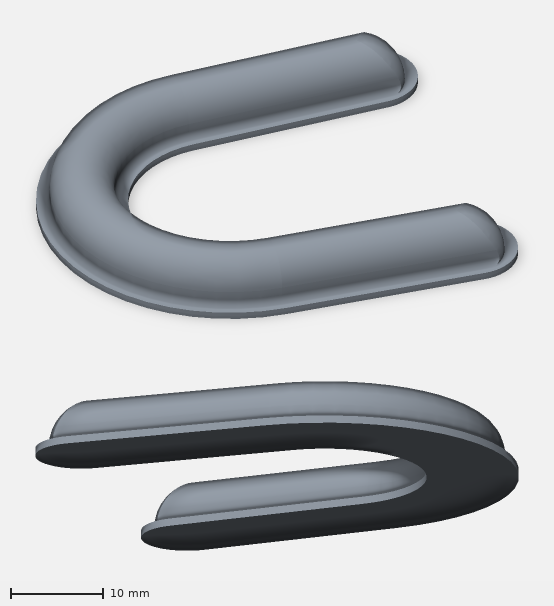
import cadquery as cq
import math

overall_length = 48.0
overall_height = 6.0
bend_radius = 16.03
leg_splay = 2.0
flange_half_width = 5.0
flange_thickness = 0.8
ridge_half_width = 3.5
foot_fillet = 0.65
dome_setback = 1.75

splay = math.radians(leg_splay)
crown_spring = overall_height - ridge_half_width
dome_radius = overall_height - flange_thickness
foot_top = flange_thickness + foot_fillet
foot_half_width = ridge_half_width + foot_fillet
end_center_y = overall_length - bend_radius - 2 * flange_half_width
leg_length = (end_center_y + bend_radius * math.sin(splay)) / math.cos(splay)
dome_distance = leg_length - dome_setback
bend_angle = 180 - 2 * leg_splay


def leg_plane(distance):
    """Cross-section plane of the right leg, at a distance beyond the bend; local x points inward."""
    x = bend_radius * math.cos(splay) + distance * math.sin(splay)
    y = -bend_radius * math.sin(splay) + distance * math.cos(splay)
    return cq.Plane(
        origin=(x, y, 0),
        xDir=(-math.cos(splay), math.sin(splay), 0),
        normal=(math.sin(splay), math.cos(splay), 0),
    )


def flange_section(distance):
    return (
        cq.Workplane(leg_plane(distance))
        .center(0, flange_thickness / 2)
        .rect(2 * flange_half_width, flange_thickness)
    )


def ridge_section(distance):
    """Half-round crown on short upright walls, with concave fillets at the foot."""
    fillet_mid_x = foot_half_width - foot_fillet * math.sqrt(0.5)
    fillet_mid_z = foot_top - foot_fillet * math.sqrt(0.5)
    return (
        cq.Workplane(leg_plane(distance))
        .moveTo(-foot_half_width, 0)
        .lineTo(-foot_half_width, flange_thickness)
        .threePointArc((-fillet_mid_x, fillet_mid_z), (-ridge_half_width, foot_top))
        .lineTo(-ridge_half_width, crown_spring)
        .threePointArc((0, overall_height), (ridge_half_width, crown_spring))
        .lineTo(ridge_half_width, foot_top)
        .threePointArc((fillet_mid_x, fillet_mid_z), (foot_half_width, flange_thickness))
        .lineTo(foot_half_width, 0)
        .close()
    )


def sweep_bend(section):
    """Turn a section around the bend, from the right leg to the left leg."""
    return section.revolve(bend_angle, (bend_radius, 0.5), (bend_radius, 0))


def make_flange_leg():
    end_center = leg_plane(leg_length).origin
    rounded_end = (
        cq.Workplane("XY")
        .center(end_center.x, end_center.y)
        .circle(flange_half_width)
        .extrude(flange_thickness)
    )
    return flange_section(0).extrude(leg_length).union(rounded_end)


def make_ridge_leg():
    """Straight ridge whose end is trimmed by a spherical dome centred on the flange top."""
    dome_center = leg_plane(dome_distance).origin
    dome = cq.Workplane("XY").sphere(dome_radius).translate(
        (dome_center.x, dome_center.y, flange_thickness)
    )
    tip = ridge_section(dome_distance).extrude(dome_radius).intersect(dome)
    return ridge_section(0).extrude(dome_distance).union(tip)


right_leg = make_flange_leg().union(make_ridge_leg())
left_leg = right_leg.mirror("YZ")
bend = sweep_bend(flange_section(0)).union(sweep_bend(ridge_section(0)))

result = bend.union(right_leg).union(left_leg)